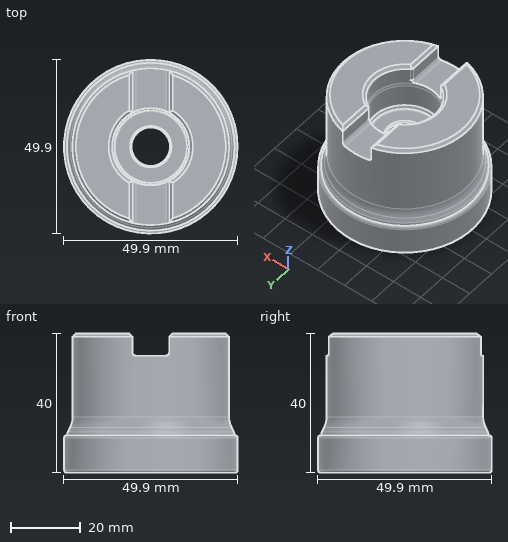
import cadquery as cq
import math

height = 40.0
flange_radius = 24.95
body_radius = 45.0 / 2
neck_radius = 48.1 / 2
shoulder_z = 10.75
flange_top_round = 0.7
flange_bottom_round = 0.85
edge_chamfer = 1.0

flare_top_z = 16.15
flare_angle = math.radians(26)
concave_radius = 7.0
convex_radius = 2.35

mouth_bore_radius = 22.2 / 2
lower_bore_radius = 22.0 / 2
taper_top_z = height - 6.65
taper_length = 1.0
lower_bore_end_z = 24.35
lower_bore_floor_z = 23.1
floor_radius = 20.85 / 2
floor_round = 0.25
through_radius = 11.0 / 2
through_chamfer = 0.45

slot_half_width = 5.25
slot_length = 2 * flange_radius
slot_depth = 6.35
slot_corner_round = 0.9
bore_corner_round = 0.9
slot_floor_z = height - slot_depth


def flare_points():
    """Points from the flange shoulder up to the body, as (radius, z)."""
    def convex(angle):
        x = neck_radius - convex_radius * (1 - math.cos(angle))
        return x, shoulder_z + convex_radius * math.sin(angle)

    def concave(angle):
        x = body_radius + concave_radius * (1 - math.cos(angle))
        return x, flare_top_z - concave_radius * math.sin(angle)

    half = flare_angle / 2
    return convex(half), convex(flare_angle), concave(flare_angle), concave(half)


def turned_body():
    convex_mid, cone_foot, cone_top, concave_mid = flare_points()
    bottom_start = flange_radius - flange_bottom_round
    bottom_mid = bottom_start + flange_bottom_round * math.sin(math.pi / 4)
    bottom_mid_z = flange_bottom_round * (1 - math.cos(math.pi / 4))
    round_start = flange_radius - flange_top_round
    round_mid = round_start + flange_top_round * math.sin(math.pi / 4)
    round_centre_z = shoulder_z - flange_top_round
    round_mid_z = round_centre_z + flange_top_round * math.cos(math.pi / 4)
    return (
        cq.Workplane("XZ")
        .moveTo(0, 0)
        .lineTo(bottom_start, 0)
        .threePointArc((bottom_mid, bottom_mid_z), (flange_radius, flange_bottom_round))
        .lineTo(flange_radius, round_centre_z)
        .threePointArc((round_mid, round_mid_z), (round_start, shoulder_z))
        .lineTo(neck_radius, shoulder_z)
        .threePointArc(convex_mid, cone_foot)
        .lineTo(*cone_top)
        .threePointArc(concave_mid, (body_radius, flare_top_z))
        .lineTo(body_radius, height - edge_chamfer)
        .lineTo(body_radius - edge_chamfer, height)
        .lineTo(0, height)
        .close()
        .revolve(360, (0, 0, 0), (0, 1, 0))
    )


def stepped_bore():
    round_start = floor_radius - floor_round
    round_mid = round_start + floor_round * math.sin(math.pi / 4)
    round_centre_z = lower_bore_floor_z + floor_round
    round_mid_z = round_centre_z - floor_round * math.cos(math.pi / 4)
    return (
        cq.Workplane("XZ")
        .moveTo(0, 0)
        .lineTo(through_radius, 0)
        .lineTo(through_radius, lower_bore_floor_z - through_chamfer)
        .lineTo(through_radius + through_chamfer, lower_bore_floor_z)
        .lineTo(round_start, lower_bore_floor_z)
        .threePointArc((round_mid, round_mid_z), (floor_radius, round_centre_z))
        .lineTo(lower_bore_radius, lower_bore_end_z)
        .lineTo(lower_bore_radius, taper_top_z - taper_length)
        .lineTo(mouth_bore_radius, taper_top_z)
        .lineTo(mouth_bore_radius, height)
        .lineTo(0, height)
        .close()
        .revolve(360, (0, 0, 0), (0, 1, 0))
    )


def driving_slot():
    return (
        cq.Workplane("XY")
        .box(2 * slot_half_width, slot_length, slot_depth, centered=(True, True, False))
        .edges("|Y and <Z")
        .fillet(slot_corner_round)
        .translate((0, 0, slot_floor_z))
    )


def rounded_corner_opening():
    """Slot and bore as one opening, with the upright corners between them rounded."""
    opening_height = slot_depth - slot_corner_round
    straight = cq.Workplane("XY").box(
        2 * slot_half_width, slot_length, opening_height, centered=(True, True, False)
    )
    round_opening = cq.Workplane("XY").circle(mouth_bore_radius).extrude(opening_height)
    corner_box = cq.selectors.BoxSelector(
        (-mouth_bore_radius, -mouth_bore_radius, 0),
        (mouth_bore_radius, mouth_bore_radius, opening_height),
    )
    upright = cq.selectors.ParallelDirSelector(cq.Vector(0, 0, 1))
    return (
        straight.union(round_opening)
        .edges(cq.selectors.AndSelector(upright, corner_box))
        .fillet(bore_corner_round)
        .translate((0, 0, height - opening_height))
    )


def slot_edge_chamfer():
    return (
        cq.Workplane("XZ")
        .polyline([
            (-slot_half_width, height - edge_chamfer),
            (slot_half_width, height - edge_chamfer),
            (slot_half_width + edge_chamfer, height),
            (-slot_half_width - edge_chamfer, height),
        ])
        .close()
        .extrude(slot_length / 2, both=True)
    )


def bore_mouth_chamfer():
    bottom_z = height - edge_chamfer
    cone = cq.Solid.makeCone(
        mouth_bore_radius,
        mouth_bore_radius + edge_chamfer,
        edge_chamfer,
        cq.Vector(0, 0, bottom_z),
    )
    return cq.Workplane(cone)


result = (
    turned_body()
    .cut(stepped_bore())
    .cut(driving_slot())
    .cut(rounded_corner_opening())
    .cut(slot_edge_chamfer())
    .cut(bore_mouth_chamfer())
)